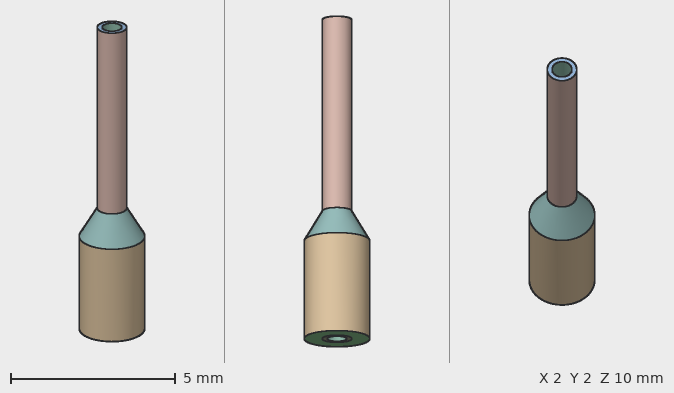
import cadquery as cq

total_length = 10.0
bore_diameter = 0.6

tube_diameter = 0.9

collar_diameter = 2.0
collar_height = 4.0
collar_straight_height = 3.07


def make_tube():
    """Plain tube, open at both ends."""
    return (
        cq.Workplane("XY")
        .circle(tube_diameter / 2)
        .circle(bore_diameter / 2)
        .extrude(total_length)
    )


def make_collar():
    """Cylindrical sleeve that tapers to the tube surface at its top."""
    inner_radius = tube_diameter / 2
    outer_radius = collar_diameter / 2
    return (
        cq.Workplane("XZ")
        .moveTo(inner_radius, 0)
        .lineTo(outer_radius, 0)
        .lineTo(outer_radius, collar_straight_height)
        .lineTo(inner_radius, collar_height)
        .close()
        .revolve(360, (0, 0, 0), (0, 1, 0))
    )


tube = make_tube()
collar = make_collar()

result = cq.Compound.makeCompound([tube.val(), collar.val()])